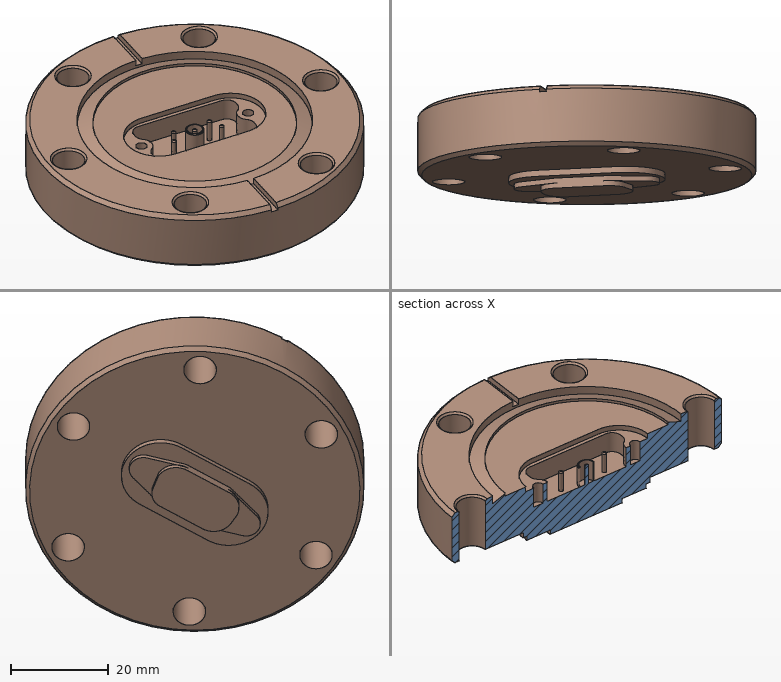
import cadquery as cq
import math

flange_diameter = 69.35
flange_thickness = 12.7
rim_chamfer = 0.8

recess_diameter = 48.25
knife_diameter = 41.75
knife_depth = 0.7
floor_depth = 1.3
knife_slope = 20.0

groove_width = 1.45
groove_depth = 1.3

bolt_count = 6
bolt_circle_diameter = 58.65
bolt_hole_diameter = 6.65
bolt_chamfer = 0.4
bolt_chamfer_angle = 45

mouth_length = 31.1
mouth_width = 14.4
mouth_depth = 1.2
cavity_depth = 4.8
cavity_half_width = 6.4
lobe_radius = 2.15
lobe_top = 11.85
lug_radius = 2.35
screw_offset = 12.4
screw_hole_diameter = 2.3
screw_hole_depth = cavity_depth

pin_diameter = 1.0
pin_height = 4.85
pin_chamfer = 0.3
inner_pin_offset = (1.4, 4.15)
outer_pin_offset = (1.4, 5.55)
shell_outer_diameter = 3.9
shell_inner_diameter = 3.2
shell_chamfer = 0.17

base_length = 32.6
base_width = 16.15
base_thickness = 1.25
body_width = 10.3
ear_radius = 2.9
ear_thickness = 1.05
ear_shoulder = 5.35
ear_blend_radius = 2.8
plug_length = 18.7
plug_thickness = 1.05
plug_radius = 4.2
key_radius = 3.5
key_angle = 12.5

floor_z = flange_thickness - floor_depth
ledge_z = floor_z - mouth_depth
cavity_z = ledge_z - cavity_depth
base_z = -base_thickness
ear_z = base_z - ear_thickness
plug_z = ear_z - plug_thickness


def flange():
    disc = cq.Workplane("XY").circle(flange_diameter / 2).extrude(flange_thickness)
    return disc.faces("<Z or >Z").edges().chamfer(rim_chamfer)


def sealing_recess():
    """Round recess whose floor is ringed by a knife edge sloping down to the wall."""
    recess_radius = recess_diameter / 2
    knife_radius = knife_diameter / 2
    knife_z = flange_thickness - knife_depth
    slope_drop = (recess_radius - knife_radius) * math.tan(math.radians(knife_slope))
    profile = (
        cq.Workplane("XZ")
        .moveTo(0, floor_z)
        .lineTo(knife_radius, floor_z)
        .lineTo(knife_radius, knife_z)
        .lineTo(recess_radius, knife_z - slope_drop)
        .lineTo(recess_radius, flange_thickness)
        .lineTo(0, flange_thickness)
        .close()
    )
    return profile.revolve(360, (0, 0, 0), (0, 1, 0))


def groove():
    """Radial groove on both sides, stopping at the recess wall."""
    groove_floor = cq.Workplane("XY", origin=(0, 0, flange_thickness - groove_depth))
    strip = groove_floor.rect(flange_diameter, groove_width).extrude(groove_depth)
    core = cq.Workplane("XY").circle(recess_diameter / 2).extrude(flange_thickness)
    return strip.cut(core)


def bolt_holes():
    hole = cq.Workplane("XY").circle(bolt_hole_diameter / 2).extrude(flange_thickness)
    mouth = (
        cq.Workplane("XY", origin=(0, 0, flange_thickness))
        .circle(bolt_hole_diameter / 2 + bolt_chamfer)
        .extrude(-bolt_chamfer, taper=bolt_chamfer_angle)
    )
    hole = hole.union(mouth).translate((0, bolt_circle_diameter / 2, 0))
    holes = cq.Workplane("XY")
    for i in range(bolt_count):
        holes = holes.union(hole.rotate((0, 0, 0), (0, 0, 1), 360 / bolt_count * i))
    return holes


def pocket_mouth():
    ledge = cq.Workplane("XY", origin=(0, 0, ledge_z))
    return ledge.slot2D(mouth_length, mouth_width, 90).extrude(mouth_depth)


def cavity():
    """Long cavity; each end has two rounded, flat-topped lobes blending into the screw lug."""
    lobe_y = lobe_top - lobe_radius
    corner_x = cavity_half_width - lobe_radius
    reach = lobe_radius + lug_radius
    lobe_x = math.sqrt(reach**2 - (screw_offset - lobe_y) ** 2)
    blend_x = lobe_x * lug_radius / reach
    blend_y = screw_offset - (screw_offset - lobe_y) * lug_radius / reach
    lug_bottom = screw_offset - lug_radius
    half_outline = (
        cq.Workplane("XY", origin=(0, 0, cavity_z))
        .moveTo(cavity_half_width, 0)
        .lineTo(cavity_half_width, lobe_y)
        .tangentArcPoint((corner_x, lobe_top), relative=False)
        .lineTo(lobe_x, lobe_top)
        .tangentArcPoint((blend_x, blend_y), relative=False)
        .threePointArc((0, lug_bottom), (-blend_x, blend_y))
        .tangentArcPoint((-lobe_x, lobe_top), relative=False)
        .lineTo(-corner_x, lobe_top)
        .tangentArcPoint((-cavity_half_width, lobe_y), relative=False)
        .lineTo(-cavity_half_width, 0)
        .close()
    )
    half = half_outline.extrude(cavity_depth)
    return half.union(half.mirror("XZ"))


def screw_holes():
    """Blind holes in the lugs at both ends of the cavity."""
    return (
        cq.Workplane("XY", origin=(0, 0, ledge_z))
        .pushPoints([(0, screw_offset), (0, -screw_offset)])
        .circle(screw_hole_diameter / 2)
        .extrude(-screw_hole_depth)
    )


def contacts():
    """Coaxial shell with its centre pin, and two signal pins on either side of it."""
    inner_x, inner_y = inner_pin_offset
    outer_x, outer_y = outer_pin_offset
    pin_places = [
        (0, 0),
        (-inner_x, inner_y),
        (-inner_x, -inner_y),
        (outer_x, outer_y),
        (outer_x, -outer_y),
    ]
    floor = cq.Workplane("XY", origin=(0, 0, cavity_z))
    pins = floor.pushPoints(pin_places).circle(pin_diameter / 2).extrude(pin_height)
    pins = pins.faces(">Z").edges().chamfer(pin_chamfer)
    barrel = floor.circle(shell_outer_diameter / 2).extrude(pin_height)
    barrel = barrel.faces(">Z").edges().chamfer(shell_chamfer)
    shell = barrel.cut(floor.circle(shell_inner_diameter / 2).extrude(pin_height))
    return pins.union(shell)


def connector_base():
    return cq.Workplane("XY").slot2D(base_length, base_width, 90).extrude(-base_thickness)


def connector_ears():
    """Plate with straight sides tapering to round ears around the screw holes."""
    half_width = body_width / 2
    rise = screw_offset - ear_shoulder
    span = math.hypot(half_width, rise)
    angle = math.acos(ear_radius / span) - math.atan2(rise, half_width)
    tangent_x = ear_radius * math.cos(angle)
    tangent_y = screw_offset + ear_radius * math.sin(angle)
    tip_y = screw_offset + ear_radius
    plate = (
        cq.Workplane("XY", origin=(0, 0, ear_z))
        .moveTo(half_width, -ear_shoulder)
        .lineTo(half_width, ear_shoulder)
        .lineTo(tangent_x, tangent_y)
        .threePointArc((0, tip_y), (-tangent_x, tangent_y))
        .lineTo(-half_width, ear_shoulder)
        .lineTo(-half_width, -ear_shoulder)
        .lineTo(-tangent_x, -tangent_y)
        .threePointArc((0, -tip_y), (tangent_x, -tangent_y))
        .close()
        .extrude(ear_thickness)
    )
    shoulder = cq.selectors.BoxSelector(
        (-body_width, -screw_offset, plug_z),
        (body_width, screw_offset, base_z),
    )
    return plate.edges("|Z").edges(shoulder).fillet(ear_blend_radius)


def plug():
    """Rounded block, keyed by a slanted face at its -X, -Y corner."""
    half_width = body_width / 2
    half_length = plug_length / 2
    slant = math.tan(math.radians(key_angle))
    key_start_x = half_width - plug_radius
    arc_middle = plug_radius * (1 - math.sqrt(0.5))
    block = (
        cq.Workplane("XY", origin=(0, 0, plug_z))
        .moveTo(key_start_x, -half_length)
        .threePointArc(
            (half_width - arc_middle, -half_length + arc_middle),
            (half_width, -half_length + plug_radius),
        )
        .lineTo(half_width, half_length)
        .lineTo(-half_width, half_length)
        .lineTo(-half_width, -half_length + (key_start_x + half_width) * slant)
        .close()
        .extrude(plug_thickness)
    )
    block = block.edges("|Z").edges(">Y").fillet(plug_radius)
    return block.edges("|Z").edges("<X").edges("<Y").fillet(key_radius)


result = (
    flange()
    .cut(sealing_recess())
    .cut(groove())
    .cut(bolt_holes())
    .cut(pocket_mouth())
    .cut(cavity())
    .union(connector_base())
    .union(connector_ears())
    .union(plug())
    .cut(screw_holes())
    .union(contacts())
)